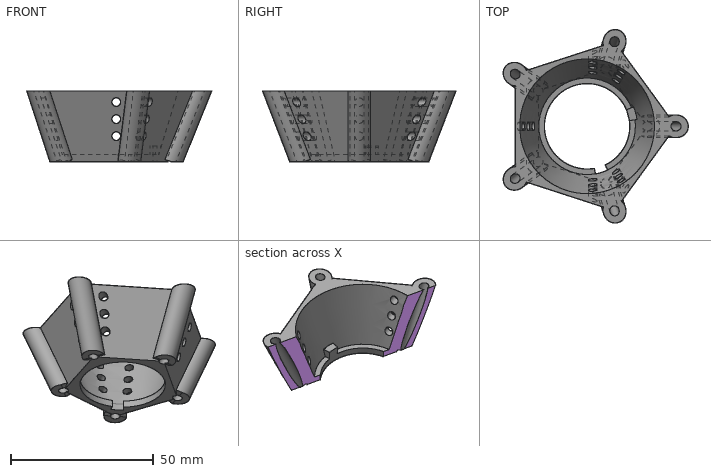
import cadquery as cq
import math

height = 25.0
corner_count = 5
post_lean = 22.0
top_corner_radius = 31.3
bottom_corner_radius = top_corner_radius - height * math.tan(math.radians(post_lean))

post_diameter = 8.05
post_bore_diameter = 3.3

cavity_top_radius = 23.75
cavity_floor_radius = 17.0
rim_thickness = 2.5
rim_opening_radius = 15.0

key_height = 3.0
key_radius = 17.75
key_start = 7.7
gap_start = -80.0
gap_inner_radius = rim_opening_radius - 0.7
segment_angle = 15.0

hole_diameter = 3.0
hole_spacing = 6.0
middle_hole_height = 15.0
side_hole_shift = 2.0
slanted_hole_angle = 60.0
slanted_hole_shift = 0.8
hole_reach = 2 * top_corner_radius


def polar(radius, angle):
    """Point at a radius and an angle in degrees."""
    return (radius * math.cos(math.radians(angle)), radius * math.sin(math.radians(angle)))


def pentagon(radius):
    """Corner points of the pentagon, the first one on +X."""
    return [polar(radius, i * 360 / corner_count) for i in range(corner_count)]


def leaning_rods(diameter, bottom_overrun):
    """Square-ended rods along the leaning corner edges, trimmed to the height of the part.

    With no bottom overrun, the inner side of each tilted end stays above the base.
    """
    lean = math.radians(post_lean)
    top_overrun = diameter
    axis = cq.Vector(math.sin(lean), 0, math.cos(lean))
    start = cq.Vector(bottom_corner_radius, 0, 0) - axis * bottom_overrun
    length = height / math.cos(lean) + bottom_overrun + top_overrun
    rod = cq.Workplane(cq.Solid.makeCylinder(diameter / 2, length, start, axis))
    slab_width = 4 * top_corner_radius
    slab = cq.Workplane().box(slab_width, slab_width, height, centered=(True, True, False))
    rod = rod.intersect(slab)
    rods = cq.Workplane()
    for i in range(corner_count):
        rods = rods.add(rod.rotate((0, 0, 0), (0, 0, 1), i * 360 / corner_count))
    return rods.combine()


def ring_segment(inner, outer, start, thickness):
    """Arc-shaped block standing on the base plane and spanning the segment angle."""
    middle = start + segment_angle / 2
    end = start + segment_angle
    return (
        cq.Workplane()
        .moveTo(*polar(inner, start))
        .lineTo(*polar(outer, start))
        .threePointArc(polar(outer, middle), polar(outer, end))
        .lineTo(*polar(inner, end))
        .threePointArc(polar(inner, middle), polar(inner, start))
        .close()
        .extrude(thickness)
    )


def hole_column(angle, shift):
    """Three holes running outwards at an angle, shifted to the left of that direction."""
    x, y = polar(shift, angle + 90)
    direction = cq.Vector(*polar(1, angle))
    column = cq.Workplane()
    for step in (-1, 0, 1):
        start = cq.Vector(x, y, middle_hole_height + step * hole_spacing)
        column = column.add(cq.Solid.makeCylinder(hole_diameter / 2, hole_reach, start, direction))
    return column.combine()


body = (
    cq.Workplane()
    .polyline(pentagon(bottom_corner_radius))
    .close()
    .workplane(offset=height)
    .polyline(pentagon(top_corner_radius))
    .close()
    .loft(ruled=True)
)
body = body.union(leaning_rods(post_diameter, 0))

cavity_depth = height - rim_thickness
cavity_base = cq.Vector(0, 0, rim_thickness)
cavity = cq.Workplane(cq.Solid.makeCone(cavity_floor_radius, cavity_top_radius, cavity_depth, cavity_base))
opening = cq.Workplane().circle(rim_opening_radius).extrude(height)
body = body.cut(cavity).cut(opening).cut(leaning_rods(post_bore_diameter, post_bore_diameter))

body = body.cut(ring_segment(gap_inner_radius, cavity_floor_radius, gap_start, rim_thickness))
body = body.union(ring_segment(rim_opening_radius, key_radius, key_start, rim_thickness + key_height))

for angle, shift in (
    (180, 0),
    (90, -side_hole_shift),
    (-90, side_hole_shift),
    (slanted_hole_angle, -slanted_hole_shift),
    (-slanted_hole_angle, slanted_hole_shift),
):
    body = body.cut(hole_column(angle, shift))

result = body